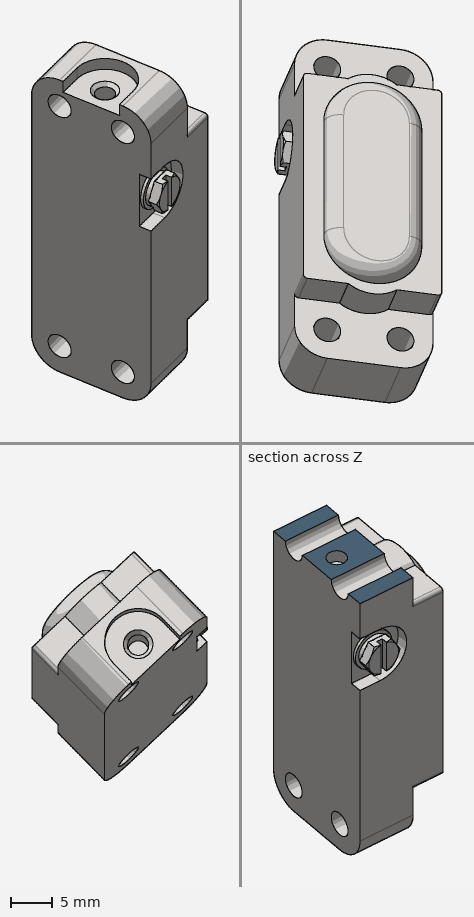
import cadquery as cq
import math

HEIGHT = 45.0
WIDTH = 17.0
PLATE_DEPTH = 8.0
CORNER_RADIUS = 4.0

BLOCK_DEPTH = 4.5
BLOCK_HEIGHT = 29.0
BLOCK_CORNER_RADIUS = 0.5
BULGE_WIDTH = 6.0
BULGE_RISE = 1.0

DOME_WIDTH = 12.0
DOME_HEIGHT = 28.0
DOME_RISE = 2.0

MOUNT_HOLE_DIAMETER = 3.3
MOUNT_X = WIDTH / 2 - CORNER_RADIUS
MOUNT_Z = HEIGHT / 2 - CORNER_RADIUS

RECESS_WIDTH = 8.0
RECESS_DEPTH = 1.65
PORT_Y = 3.0
PORT_BORE_DIAMETER = 2.5
PORT_BORE_DEPTH = 4.0
COUNTERSINK_DIAMETER = 3.5
COUNTERSINK_ANGLE = 90.0
SIDE_PORT_Z = 9.0

GASKET_DIAMETER = 5.5
GASKET_THICKNESS = 0.4

COLLAR_LENGTH = 0.65
HEX_ACROSS_FLATS = 4.5
COLLAR_DIAMETER = HEX_ACROSS_FLATS
HEX_LENGTH = 1.35
HEX_CHAMFER_ANGLE = 30.0
SLOT_WIDTH = 0.8
SLOT_DEPTH = 0.8

BLOCK_BACK_Y = PLATE_DEPTH + BLOCK_DEPTH

TOP_PORT = cq.Plane(origin=(0, PORT_Y, HEIGHT / 2), xDir=(1, 0, 0), normal=(0, 0, 1))
SIDE_PORT = cq.Plane(origin=(WIDTH / 2, PORT_Y, SIDE_PORT_Z), xDir=(0, 0, -1), normal=(1, 0, 0))


def back_facing(y):
    """Workplane parallel to the mounting face at the given Y; positive extrusion goes to the back."""
    return cq.Workplane(cq.Plane(origin=(0, y, 0), xDir=(-1, 0, 0), normal=(0, 1, 0)))


def make_plate():
    plate = back_facing(0).rect(WIDTH, HEIGHT).extrude(PLATE_DEPTH)
    return plate.edges("|Y").fillet(CORNER_RADIUS)


def make_block():
    block = back_facing(PLATE_DEPTH).rect(WIDTH, BLOCK_HEIGHT).extrude(BLOCK_DEPTH)
    block = block.edges("|Y").fillet(BLOCK_CORNER_RADIUS)
    bulged_strip = (
        back_facing(PLATE_DEPTH)
        .moveTo(-BULGE_WIDTH / 2, -BLOCK_HEIGHT / 2)
        .lineTo(-BULGE_WIDTH / 2, BLOCK_HEIGHT / 2)
        .threePointArc((0, BLOCK_HEIGHT / 2 + BULGE_RISE), (BULGE_WIDTH / 2, BLOCK_HEIGHT / 2))
        .lineTo(BULGE_WIDTH / 2, -BLOCK_HEIGHT / 2)
        .threePointArc((0, -BLOCK_HEIGHT / 2 - BULGE_RISE), (-BULGE_WIDTH / 2, -BLOCK_HEIGHT / 2))
        .close()
        .extrude(BLOCK_DEPTH)
    )
    return block.union(bulged_strip)


def make_dome():
    """Stadium rooted inside the block, so that the rim rounding spans the whole visible rise."""
    root_y = PLATE_DEPTH + BLOCK_DEPTH / 2
    stadium = back_facing(root_y).slot2D(DOME_HEIGHT, DOME_WIDTH, 90)
    dome = stadium.extrude(BLOCK_BACK_Y + DOME_RISE - root_y)
    return dome.faces(">Y").edges().fillet(DOME_RISE)


def make_mount_holes():
    centres = [(x, z) for x in (-MOUNT_X, MOUNT_X) for z in (-MOUNT_Z, MOUNT_Z)]
    return back_facing(0).pushPoints(centres).circle(MOUNT_HOLE_DIAMETER / 2).extrude(PLATE_DEPTH)


def make_recess(port):
    half_width = RECESS_WIDTH / 2
    return (
        cq.Workplane(port)
        .moveTo(-half_width, -PORT_Y)
        .lineTo(half_width, -PORT_Y)
        .lineTo(half_width, 0)
        .threePointArc((0, half_width), (-half_width, 0))
        .close()
        .extrude(-RECESS_DEPTH)
    )


def make_housing():
    housing = make_plate().union(make_block()).union(make_dome()).cut(make_mount_holes())
    for port in (TOP_PORT, SIDE_PORT):
        housing = housing.cut(make_recess(port))
    housing = housing.copyWorkplane(cq.Workplane(TOP_PORT).workplane(offset=-RECESS_DEPTH)).cskHole(
        PORT_BORE_DIAMETER, COUNTERSINK_DIAMETER, COUNTERSINK_ANGLE, PORT_BORE_DEPTH
    )
    return housing.copyWorkplane(cq.Workplane(SIDE_PORT).workplane(offset=-RECESS_DEPTH)).hole(
        PORT_BORE_DIAMETER, PORT_BORE_DEPTH
    )


def above_side_recess_floor(height):
    """Workplane facing out of the side port, at the given height above the recess floor."""
    return cq.Workplane(SIDE_PORT).workplane(offset=height - RECESS_DEPTH)


def make_gasket():
    ring = above_side_recess_floor(0).circle(GASKET_DIAMETER / 2).circle(PORT_BORE_DIAMETER / 2)
    return ring.extrude(GASKET_THICKNESS)


def make_hex_head(base_height):
    """Hexagon with two corners along Y, chamfered by a cone that meets the end face at the flats."""
    across_corners = HEX_ACROSS_FLATS / math.cos(math.radians(30))
    head = above_side_recess_floor(base_height).transformed(rotate=(0, 0, 90))
    head = head.polygon(6, across_corners).extrude(HEX_LENGTH)
    face_radius = HEX_ACROSS_FLATS / 2
    base_radius = face_radius + HEX_LENGTH / math.tan(math.radians(HEX_CHAMFER_ANGLE))
    chamfer_cone = (
        above_side_recess_floor(base_height)
        .circle(base_radius)
        .workplane(offset=HEX_LENGTH)
        .circle(face_radius)
        .loft()
    )
    return head.intersect(chamfer_cone)


def make_plug():
    hex_base = GASKET_THICKNESS + COLLAR_LENGTH
    hex_top = hex_base + HEX_LENGTH
    shank_length = PORT_BORE_DEPTH + GASKET_THICKNESS
    shank = above_side_recess_floor(-PORT_BORE_DEPTH).circle(PORT_BORE_DIAMETER / 2).extrude(shank_length)
    collar = above_side_recess_floor(GASKET_THICKNESS).circle(COLLAR_DIAMETER / 2).extrude(COLLAR_LENGTH)
    slot = above_side_recess_floor(hex_top).rect(2 * HEX_ACROSS_FLATS, SLOT_WIDTH).extrude(-SLOT_DEPTH)
    return shank.union(collar).union(make_hex_head(hex_base)).cut(slot)


housing = make_housing()
gasket = make_gasket()
plug = make_plug()
result = cq.Compound.makeCompound([housing.solids().val(), gasket.solids().val(), plug.solids().val()])